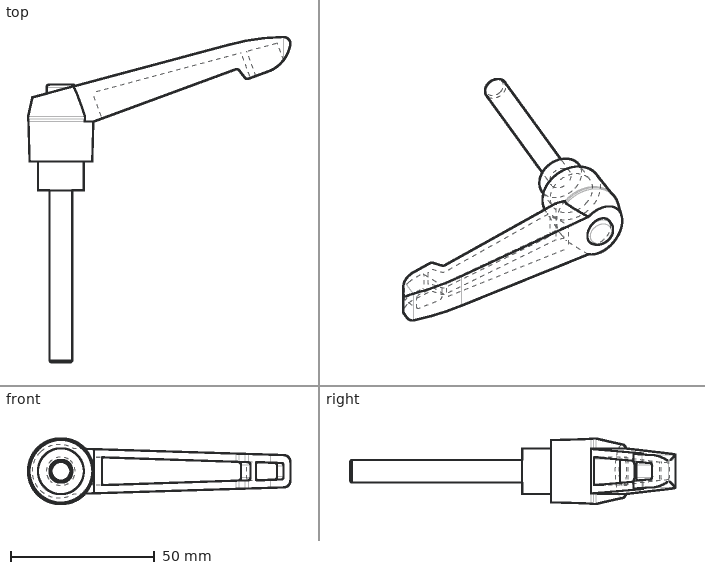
import cadquery as cq
import math


stud_diameter = 8.0
stud_length = 60.0
stud_chamfer = 0.7
sleeve_diameter = 16.0
sleeve_length = 10.0

skirt_top = 24.0
skirt_bottom_radius = 10.95
skirt_top_radius = 11.35
collar_radius = 11.49
collar_bevel_height = 0.8
collar_land_height = 0.9
hub_taper = 12.8

screw_radius = 5.0
screw_top = 36.9
screw_round = 1.0

lever_reach = 80.0
lever_top = 53.5
top_angle = 15.0
top_height_at_axis = 35.1
crown_radius = 80.0
under_angle = 20.2
under_start_x = 11.6
notch_start_x = 61.6
notch_end_x = 64.6
notch_drop = 3.8
notch_round = 1.0
tip_arc_start_x = 73.1
tip_arc_middle = (77.6, 45.4)
tip_arc_end_y = 51.0
tip_corner_radius = 2.5

half_width_at_axis = 8.1
half_width_at_tip = 5.6
tip_edge_round = 2.5

pocket_roof = 4.0
grip_pocket = {
    "start": 15.9,
    "end": 66.0,
    "half_start": 4.9,
    "half_end": 3.2,
    "start_round": 0.6,
    "end_round": 1.0,
}
tip_pocket = {
    "start": 67.9,
    "end": 78.2,
    "half_start": 3.25,
    "half_end": 2.85,
    "start_round": 1.0,
    "end_round": 1.0,
}

top_slope = math.tan(math.radians(top_angle))
under_slope = math.tan(math.radians(under_angle))


def top_y(x):
    """Height of the sloped top line of the lever."""
    return top_height_at_axis + top_slope * x


def under_y(x):
    """Height of the lever underside before the notch."""
    return skirt_top + under_slope * (x - under_start_x)


heel_y = under_y(notch_start_x) - notch_drop


def revolve_about_y(points):
    return cq.Workplane("XY").polyline(points).close().revolve(360, (0, 0, 0), (0, 1, 0))


def make_stud():
    radius = stud_diameter / 2
    stud = cq.Workplane("XZ").circle(radius).extrude(stud_length)
    stud = stud.faces("<Y").chamfer(stud_chamfer)
    sleeve = cq.Workplane("XZ").circle(sleeve_diameter / 2).extrude(-sleeve_length)
    return stud.union(sleeve)


def make_hub():
    land_bottom = skirt_top + collar_bevel_height
    land_top = land_bottom + collar_land_height
    cone_top = top_y(collar_radius)
    cone_top_radius = collar_radius - (cone_top - land_top) * math.tan(math.radians(hub_taper))
    hub = revolve_about_y([
        (0, sleeve_length),
        (skirt_bottom_radius, sleeve_length),
        (skirt_top_radius, skirt_top),
        (collar_radius, land_bottom),
        (collar_radius, land_top),
        (cone_top_radius, cone_top),
        (0, cone_top),
    ])
    reach = 2 * collar_radius
    above_slope = (
        cq.Workplane("XY")
        .polyline([(-reach, top_y(-reach)), (reach, top_y(reach)), (-reach, top_y(reach))])
        .close()
        .extrude(reach, both=True)
    )
    return hub.cut(above_slope)


def make_screw_head():
    head = cq.Workplane("XZ", origin=(0, skirt_top, 0)).circle(screw_radius).extrude(skirt_top - screw_top)
    return head.faces(">Y").edges().fillet(screw_round)


def lever_side():
    """Side profile of the lever, extruded over its greatest width."""
    angle = math.radians(top_angle)
    tangent_length = crown_radius * math.tan(angle / 2)
    crown_start_x = (lever_top - top_height_at_axis) / top_slope - tangent_length
    crown_center_x = crown_start_x + crown_radius * math.sin(angle)
    crown_end_x = lever_reach - tip_corner_radius

    def crown_y(x):
        return lever_top - crown_radius + math.sqrt(crown_radius**2 - (x - crown_center_x) ** 2)

    tip_arc_start_y = heel_y + under_slope * (tip_arc_start_x - notch_end_x)
    crown_middle_x = (crown_start_x + crown_end_x) / 2
    side = (
        cq.Workplane("XY")
        .moveTo(0, top_y(0))
        .lineTo(0, skirt_top)
        .lineTo(under_start_x, skirt_top)
        .lineTo(notch_start_x, under_y(notch_start_x))
        .lineTo(notch_end_x, heel_y)
        .lineTo(tip_arc_start_x, tip_arc_start_y)
        .threePointArc(tip_arc_middle, (lever_reach, tip_arc_end_y))
        .radiusArc((crown_end_x, crown_y(crown_end_x)), -tip_corner_radius)
        .threePointArc((crown_middle_x, crown_y(crown_middle_x)), (crown_start_x, top_y(crown_start_x)))
        .close()
        .extrude(half_width_at_axis, both=True)
    )
    for x, y in [(notch_start_x, under_y(notch_start_x)), (notch_end_x, heel_y)]:
        side = side.edges(cq.selectors.NearestToPointSelector((x, y, 0))).fillet(notch_round)
    return side


def lever_plan():
    """Tapered outline of the lever with a rounded end, extruded along Y."""
    return (
        cq.Workplane("XZ")
        .polyline([
            (0, -half_width_at_axis),
            (lever_reach, -half_width_at_tip),
            (lever_reach, half_width_at_tip),
            (0, half_width_at_axis),
        ])
        .close()
        .extrude(-2 * lever_top)
        .edges("|Y and >X")
        .fillet(tip_edge_round)
    )


def make_pocket(start, end, half_start, half_end, start_round, end_round):
    """Tapered pocket cutter, square to the heel plane, with its roof parallel to the top slope."""
    angle = math.radians(under_angle)
    heel_plane = cq.Plane(
        origin=(notch_end_x, heel_y, 0),
        xDir=(math.cos(angle), math.sin(angle), 0),
        normal=(-math.sin(angle), math.cos(angle), 0),
    )
    near = (start - notch_end_x) / math.cos(angle)
    far = (end - notch_end_x) / math.cos(angle)
    cutter = (
        cq.Workplane(heel_plane)
        .polyline([(near, -half_start), (far, -half_end), (far, half_end), (near, half_start)])
        .close()
        .extrude(lever_top)
    )
    upright = cq.selectors.ParallelDirSelector(heel_plane.zDir)
    cutter = cutter.edges(upright).edges("<X").fillet(start_round)
    cutter = cutter.edges(upright).edges(">X").fillet(end_round)
    below_roof = (
        cq.Workplane("XY")
        .polyline([
            (0, 0),
            (lever_reach, 0),
            (lever_reach, top_y(lever_reach) - pocket_roof),
            (0, top_y(0) - pocket_roof),
        ])
        .close()
        .extrude(half_width_at_axis, both=True)
    )
    return cutter.intersect(below_roof)


def make_lever():
    lever = lever_side().intersect(lever_plan())
    for pocket in (grip_pocket, tip_pocket):
        lever = lever.cut(make_pocket(**pocket))
    return lever


result = make_stud().union(make_hub()).union(make_lever()).union(make_screw_head())